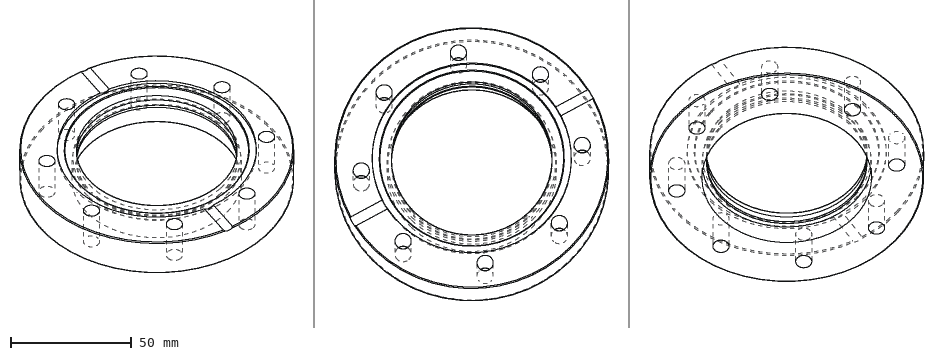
import cadquery as cq
import math

outer_radius = 56.8
height = 17.5
rim_chamfer = 0.5

recess_radius = 82.5 / 2
recess_depth = 1.5
knife_radius = 38.4
knife_depth = 0.5
knife_inner_radius = 38.0
inner_face_depth = 0.9

bore_radius = 66.5 / 2
socket_radius = 70.3 / 2
socket_depth = 9.9
groove_center_z = 12.6
groove_radius = 1.5

bolt_count = 8
bolt_circle_radius = 46.1
bolt_diameter = 6.7
first_bolt_angle = 180 / bolt_count

channel_width = 4.4
channel_depth = 0.9
channel_radius = ((channel_width / 2) ** 2 + channel_depth**2) / (2 * channel_depth)


def make_ring():
    """Revolve the flange section, drawn as radius against height, about Z."""
    inner_face_z = height - inner_face_depth
    section = (
        cq.Workplane("XZ")
        .moveTo(socket_radius, 0)
        .lineTo(outer_radius - rim_chamfer, 0)
        .lineTo(outer_radius, rim_chamfer)
        .lineTo(outer_radius, height - rim_chamfer)
        .lineTo(outer_radius - rim_chamfer, height)
        .lineTo(recess_radius, height)
        .lineTo(recess_radius, height - recess_depth)
        .lineTo(knife_radius, height - knife_depth)
        .lineTo(knife_inner_radius, inner_face_z)
        .lineTo(bore_radius, inner_face_z)
        .lineTo(bore_radius, groove_center_z + groove_radius)
        .threePointArc(
            (bore_radius + groove_radius, groove_center_z),
            (bore_radius, groove_center_z - groove_radius),
        )
        .lineTo(bore_radius, socket_depth)
        .lineTo(socket_radius, socket_depth)
        .close()
    )
    return section.revolve(360, (0, 0), (0, 1))


def make_bolt_holes():
    holes = cq.Workplane("XY")
    for index in range(bolt_count):
        angle = math.radians(first_bolt_angle + index * 360 / bolt_count)
        center = (bolt_circle_radius * math.cos(angle), bolt_circle_radius * math.sin(angle))
        holes = holes.moveTo(*center).circle(bolt_diameter / 2)
    return holes.extrude(height)


def make_channels():
    """Round-bottomed channels along X that stop at the recess wall."""
    channel_axis_z = height - channel_depth + channel_radius
    rod = (
        cq.Workplane("YZ")
        .center(0, channel_axis_z)
        .circle(channel_radius)
        .extrude(outer_radius, both=True)
    )
    recess_space = cq.Workplane("XY").circle(recess_radius).extrude(2 * height)
    return rod.cut(recess_space)


result = make_ring().cut(make_bolt_holes()).cut(make_channels())